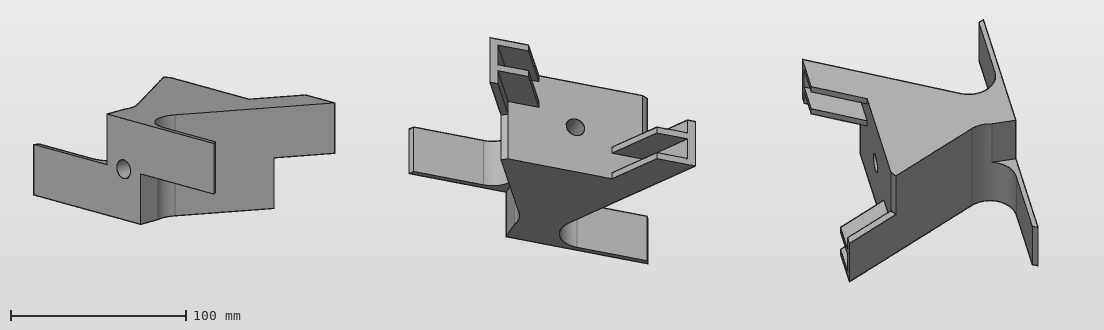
import cadquery as cq
import math

flange_length = 145.0
depth = 108.0
half_height = 30.0

flange_thickness = 3.0
neck_radius = 15.4
flange_notch_x = 13.6
hole_diameter = 11.0

arm_angle = math.radians(60)
arm_width = 20.3
wall_thickness = 4.2
body_depth = 79.0

inner_rail_bottom = 8.7
rail_height = 4.0
outer_rail_bottom = half_height - rail_height


def arm_point(y, inset=0.0):
    """Point at depth y on the right arm, inset square to its outer face."""
    return (y / math.tan(arm_angle) - inset / math.sin(arm_angle), y)


def mirrored(point):
    return (-point[0], point[1])


neck_y = flange_thickness + neck_radius
neck_x = arm_point(neck_y, -neck_radius)[0]


def neck_point(angle):
    """Point on the right neck arc, angle measured from the +X direction."""
    return (neck_x + neck_radius * math.cos(angle), neck_y + neck_radius * math.sin(angle))


def make_half_outline():
    """Upper half: full arm and flange on +X, both cut away on -X."""
    arm_tangent_angle = arm_angle + math.pi / 2
    flange_tangent_angle = 1.5 * math.pi
    arm_tangent = neck_point(arm_tangent_angle)
    notch_angle = 2 * math.pi - math.acos((flange_notch_x - neck_x) / neck_radius)

    half_length = flange_length / 2
    flange_end_slope = flange_thickness / math.tan(arm_angle)

    notch_inner = mirrored(arm_point(body_depth, wall_thickness))
    notch_outer_depth = body_depth - wall_thickness * math.cos(arm_angle)
    notch_outer = mirrored(arm_point(notch_outer_depth))

    return (
        cq.Workplane("XY")
        .moveTo(-flange_notch_x, 0)
        .lineTo(half_length, 0)
        .lineTo(half_length - flange_end_slope, flange_thickness)
        .lineTo(neck_x, flange_thickness)
        .threePointArc(neck_point((flange_tangent_angle + arm_tangent_angle) / 2), arm_tangent)
        .lineTo(*arm_point(depth))
        .lineTo(*arm_point(depth, arm_width))
        .lineTo(*arm_point(body_depth, arm_width))
        .lineTo(*notch_inner)
        .lineTo(*notch_outer)
        .lineTo(*mirrored(arm_tangent))
        .threePointArc(
            mirrored(neck_point((arm_tangent_angle + notch_angle) / 2)),
            mirrored(neck_point(notch_angle)),
        )
        .close()
    )


def make_rail_gap(bottom, top):
    """Space on the inner side of the arm, from the arm wall inward."""
    return (
        cq.Workplane("XY")
        .workplane(offset=bottom)
        .polyline([
            arm_point(body_depth, wall_thickness),
            arm_point(depth, wall_thickness),
            arm_point(depth, arm_width),
            arm_point(body_depth, arm_width),
        ])
        .close()
        .extrude(top - bottom)
    )


upper_half = make_half_outline().extrude(half_height)
upper_half = upper_half.cut(make_rail_gap(0, inner_rail_bottom))
upper_half = upper_half.cut(make_rail_gap(inner_rail_bottom + rail_height, outer_rail_bottom))

lower_half = upper_half.rotate((0, 0, 0), (0, 1, 0), 180)

hole = cq.Workplane("XZ").circle(hole_diameter / 2).extrude(-depth)

result = upper_half.union(lower_half).cut(hole)